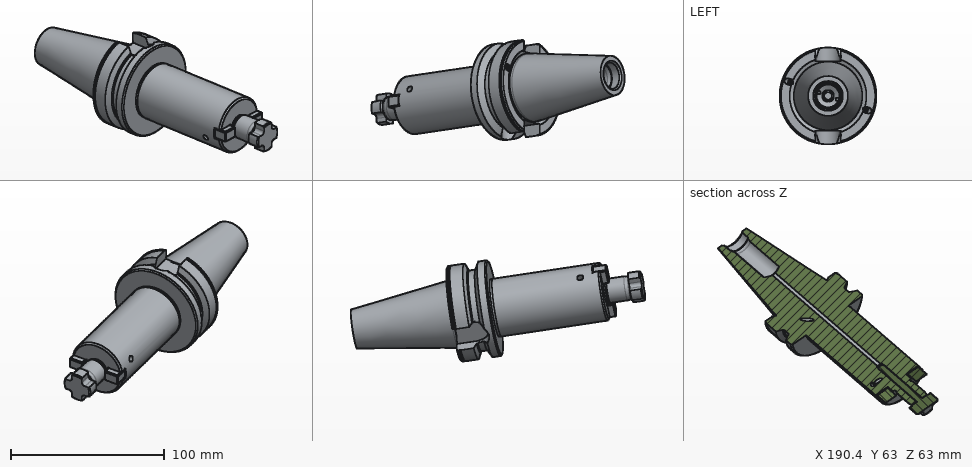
import cadquery as cq
import math

TOTAL_LENGTH = 190.4

TAPER_SMALL_R = 13.0
TAPER_LARGE_R = 22.3
TAPER_END = 65.5
UNDERCUT_R = 25.0
UNDERCUT_DEPTH = 1.1

FLANGE_R = 63.0 / 2
FLANGE_START = 66.0
FLANGE_END = 92.7
FLANGE_CHAMFER = 1.0
GRIP_FLOOR_R = 26.7
GRIP_START = 77.3
GRIP_END = 86.8
GRIP_SLOPE = 2.7
GRIP_TOE = 0.8
RIM_GROOVE_START = 67.5
RIM_GROOVE_WIDTH = 1.1
RIM_GROOVE_DEPTH = 0.4

SLOT_HALF_WIDTH = 8.4
SLOT_ROUND_R = 8.0
SLOT_FLOOR_R = 22.7
SLOT_END = 89.0

SHANK_R = 19.0
SHANK_END = 165.5
SHANK_CHAMFER = 1.1
SHANK_NECK_DEPTH = 0.1
SHANK_NECK_END = 94.2
PILOT_R = 8.0
PILOT_END = 182.4
PILOT_NECK_R = 7.5
PILOT_NECK_LENGTH = 1.1
PILOT_NECK_RAMP = 1.1
PILOT_LEAD_START = 179.2
PILOT_LEAD_END = 181.5
PILOT_TIP_R = 7.6

BORE_CHAMFER = 1.1
COUNTERBORE_R = 8.5
COUNTERBORE_DEPTH = 7.0
THREAD_LEAD_R = 8.0
THREAD_LEAD_LENGTH = 3.0
THREAD_BORE_R = 7.5
THREAD_BORE_DEPTH = 38.0
DRILL_TIP_LENGTH = 2.3
CENTRE_HOLE_R = 3.6

SCREW_R = 4.0
SCREW_START = 142.8
SCREW_TIP_CHAMFER = 1.5
HEAD_R = 20.0 / 2
HEAD_CHAMFER = 0.8
HEAD_ARM_HALF_WIDTH = 3.8
HEAD_VALLEY_R = 2.3

KEY_START = 160.3
KEY_END = 169.8
KEY_INNER = 8.2
KEY_OUTER = 18.5
KEY_HALF_WIDTH = 3.8
KEY_CHAMFER = 0.8

COOLANT_TURN = 20.0
CHANNEL_R = 1.05
CHANNEL_OFFSET = 6.3
OPENING_R = 4.0 / 2
INLET_OFFSET = 27.2
OUTLET_X = 152.3
OUTLET_DEPTH = 5.5
PLUG_RECESS = 1.5
PLUG_LENGTH = 5.7
PLUG_HEX_SIZE = 2.7
PLUG_HEX_DEPTH = 1.9

X_AXIS = ((0, 0, 0), (1, 0, 0))


def revolve_about_x(points):
    """Turn an outline of (x, radius) points around the X axis."""
    return cq.Workplane("XY").polyline(points).close().revolve(360, *X_AXIS)


def opposite_pair(shape, turn=0.0):
    """Two copies of a shape, half a turn apart around the X axis."""
    return [shape.rotate(*X_AXIS, turn + half) for half in (0, 180)]


def key_block(start, end, outer):
    """Block at +Y as wide as a key, from x = start to end and from the keys' inner face to y = outer."""
    length = end - start
    height = outer - KEY_INNER
    return (
        cq.Workplane("XY", origin=(start, KEY_INNER, 0))
        .box(length, height, 2 * KEY_HALF_WIDTH, centered=(False, False, True))
    )


def slanted_rod(radius, start, length):
    """A rod that starts at a distance along the slanted coolant hole and points to the axis."""
    hole = cq.Plane((FLANGE_START, INLET_OFFSET, 0), xDir=(0, 0, 1), normal=(1, -1, 0))
    return cq.Workplane(hole).workplane(offset=start).circle(radius).extrude(length)


def holder_blank():
    rim_groove_end = RIM_GROOVE_START + RIM_GROOVE_WIDTH
    rim_groove_middle = RIM_GROOVE_START + RIM_GROOVE_WIDTH / 2
    neck_end = SHANK_END + PILOT_NECK_LENGTH
    return revolve_about_x([
        (0, 0),
        (0, TAPER_SMALL_R),
        (TAPER_END, TAPER_LARGE_R),
        (FLANGE_START + UNDERCUT_DEPTH, TAPER_LARGE_R),
        (FLANGE_START, UNDERCUT_R),
        (FLANGE_START, FLANGE_R - FLANGE_CHAMFER),
        (FLANGE_START + FLANGE_CHAMFER, FLANGE_R),
        (RIM_GROOVE_START, FLANGE_R),
        (rim_groove_middle, FLANGE_R - RIM_GROOVE_DEPTH),
        (rim_groove_end, FLANGE_R),
        (GRIP_START, FLANGE_R),
        (GRIP_START + GRIP_SLOPE - GRIP_TOE, GRIP_FLOOR_R + GRIP_TOE),
        (GRIP_START + GRIP_SLOPE, GRIP_FLOOR_R),
        (GRIP_END - GRIP_SLOPE, GRIP_FLOOR_R),
        (GRIP_END, FLANGE_R),
        (FLANGE_END - FLANGE_CHAMFER, FLANGE_R),
        (FLANGE_END, FLANGE_R - FLANGE_CHAMFER),
        (FLANGE_END, SHANK_R - SHANK_NECK_DEPTH),
        (SHANK_NECK_END, SHANK_R - SHANK_NECK_DEPTH),
        (SHANK_NECK_END, SHANK_R),
        (SHANK_END - SHANK_CHAMFER, SHANK_R),
        (SHANK_END, SHANK_R - SHANK_CHAMFER),
        (SHANK_END, PILOT_NECK_R),
        (neck_end, PILOT_NECK_R),
        (neck_end + PILOT_NECK_RAMP, PILOT_R),
        (PILOT_LEAD_START, PILOT_R),
        (PILOT_LEAD_END, PILOT_TIP_R),
        (PILOT_END, PILOT_TIP_R),
        (PILOT_END, 0),
    ])


def holder_bore():
    return revolve_about_x([
        (0, 0),
        (0, COUNTERBORE_R + BORE_CHAMFER),
        (BORE_CHAMFER, COUNTERBORE_R),
        (COUNTERBORE_DEPTH, COUNTERBORE_R),
        (COUNTERBORE_DEPTH, THREAD_LEAD_R),
        (COUNTERBORE_DEPTH + THREAD_LEAD_LENGTH, THREAD_BORE_R),
        (THREAD_BORE_DEPTH, THREAD_BORE_R),
        (THREAD_BORE_DEPTH + DRILL_TIP_LENGTH, CENTRE_HOLE_R),
        (SCREW_START, CENTRE_HOLE_R),
        (SCREW_START, SCREW_R),
        (PILOT_END, SCREW_R),
        (PILOT_END, 0),
    ])


def flange_slot():
    """Slot at +Z, open towards the taper and rounded at its far end."""
    round_centre = SLOT_END - SLOT_ROUND_R
    return (
        cq.Workplane("XY", origin=(0, 0, SLOT_FLOOR_R))
        .moveTo(TAPER_END, -SLOT_HALF_WIDTH)
        .lineTo(round_centre, -SLOT_HALF_WIDTH)
        .lineTo(round_centre, -SLOT_ROUND_R)
        .threePointArc((SLOT_END, 0), (round_centre, SLOT_ROUND_R))
        .lineTo(round_centre, SLOT_HALF_WIDTH)
        .lineTo(TAPER_END, SLOT_HALF_WIDTH)
        .close()
        .extrude(FLANGE_R - SLOT_FLOOR_R)
    )


def key_slot():
    """Slot at +Y across the shank face."""
    return key_block(KEY_START, SHANK_END, SHANK_R)


def coolant_holes():
    """Slanted inlet with its plug seat, lengthwise channel and radial outlet, on the +Y side."""
    inlet_length = (INLET_OFFSET - CHANNEL_OFFSET) * math.sqrt(2)
    inlet = slanted_rod(CHANNEL_R, 0, inlet_length)
    plug_seat = slanted_rod(OPENING_R, -OPENING_R, OPENING_R + PLUG_RECESS + PLUG_LENGTH)
    channel = (
        cq.Workplane("YZ", origin=(THREAD_BORE_DEPTH, CHANNEL_OFFSET, 0))
        .circle(CHANNEL_R)
        .extrude(OUTLET_X + CHANNEL_R - THREAD_BORE_DEPTH)
    )
    shank_side = cq.Workplane("XZ", origin=(OUTLET_X, SHANK_R, 0))
    outlet = shank_side.circle(CHANNEL_R).extrude(SHANK_R - CHANNEL_OFFSET)
    outlet_mouth = shank_side.circle(OPENING_R).extrude(OUTLET_DEPTH)
    return inlet.union(plug_seat).union(channel).union(outlet).union(outlet_mouth)


def make_holder():
    holder = holder_blank().cut(holder_bore())
    cutters = opposite_pair(flange_slot()) + opposite_pair(key_slot())
    cutters += opposite_pair(coolant_holes(), COOLANT_TURN)
    for cutter in cutters:
        holder = holder.cut(cutter)
    return holder


def make_screw():
    shank = revolve_about_x([
        (SCREW_START, 0),
        (SCREW_START, SCREW_R - SCREW_TIP_CHAMFER),
        (SCREW_START + SCREW_TIP_CHAMFER, SCREW_R),
        (PILOT_END, SCREW_R),
        (PILOT_END, 0),
    ])
    head_disc = revolve_about_x([
        (PILOT_END, 0),
        (PILOT_END, HEAD_R),
        (TOTAL_LENGTH - HEAD_CHAMFER, HEAD_R),
        (TOTAL_LENGTH, HEAD_R - HEAD_CHAMFER),
        (TOTAL_LENGTH, 0),
    ])
    head_length = TOTAL_LENGTH - PILOT_END
    base = cq.Workplane("YZ", origin=(PILOT_END, 0, 0))
    across = base.rect(2 * HEAD_R, 2 * HEAD_ARM_HALF_WIDTH).extrude(head_length)
    upright = base.rect(2 * HEAD_ARM_HALF_WIDTH, 2 * HEAD_R).extrude(head_length)
    reach = (HEAD_ARM_HALF_WIDTH + HEAD_R) / 2
    inner_corners = cq.selectors.BoxSelector(
        (PILOT_END, -reach, -reach), (TOTAL_LENGTH, reach, reach)
    )
    cross = across.union(upright).edges("|X").edges(inner_corners).fillet(HEAD_VALLEY_R)
    return head_disc.intersect(cross).union(shank)


def make_key():
    """Key at +Y with all its edges chamfered."""
    return key_block(KEY_START, KEY_END, KEY_OUTER).edges().chamfer(KEY_CHAMFER)


def make_plug():
    """Plug with a hexagon socket, inside the slanted coolant hole."""
    body = slanted_rod(OPENING_R, PLUG_RECESS, PLUG_LENGTH)
    return body.faces("<(1, -1, 0)").workplane().polygon(6, PLUG_HEX_SIZE).cutBlind(-PLUG_HEX_DEPTH)


holder = make_holder()
screw = make_screw()
keys = opposite_pair(make_key())
plugs = opposite_pair(make_plug(), COOLANT_TURN)

result = cq.Compound.makeCompound(
    [holder.val(), screw.val()] + [key.val() for key in keys] + [plug.val() for plug in plugs]
)